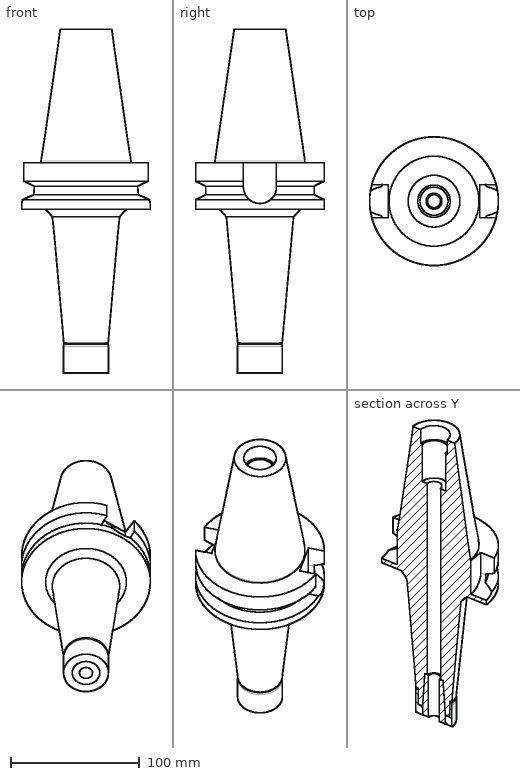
import cadquery as cq


total_length = 266.8
taper_length = 102.0
tip_z = taper_length - total_length

gauge_diameter = 70.0
taper_ratio = 7 / 24
taper_end_diameter = gauge_diameter - taper_ratio * taper_length

flange_diameter = 100.0
flange_top_z = -1.5
flange_bottom_z = -38.0
groove_floor_diameter = 84.5
groove_middle_z = -23.2
groove_mouth_width = 14.5
groove_floor_width = 6.7

slot_width = 25.5
slot_floor_x = 35.5
slot_bottom_z = -33.4

flare_top_diameter = 62.7
nose_top_diameter = 52.3
nose_top_z = -43.8
nose_end_diameter = 34.7
nose_end_z = -141.7

neck_diameter = 30.5
neck_end_z = -157.0

counterbore_diameter = 25.0
counterbore_depth = 13.0
draw_bore_diameter = 22.0
draw_bore_depth = 48.0
passage_diameter = 12.3

nut_diameter = 35.0
nut_gap = 0.8
nut_top_z = nose_end_z - nut_gap
nut_chamfer_height = 1.5
nut_chamfer_width = 0.3

collet_top_z = -125.5
collet_top_diameter = 17.0
collet_end_diameter = 21.3
collet_bore_diameter = 10.1


def revolved(profile):
    """Turn a list of (radius, z) points about the Z axis."""
    return cq.Workplane("YZ").polyline(profile).close().revolve(360, (0, 0, 0), (0, 1, 0))


def make_drive_slot(side):
    """Round-bottomed slot cutter on the +X (side = 1) or -X (side = -1) flank."""
    slot_radius = slot_width / 2
    arc_center_z = slot_bottom_z + slot_radius
    return (
        cq.Workplane("YZ", origin=(side * slot_floor_x, 0, 0))
        .moveTo(-slot_radius, flange_top_z)
        .lineTo(-slot_radius, arc_center_z)
        .threePointArc((0, slot_bottom_z), (slot_radius, arc_center_z))
        .lineTo(slot_radius, flange_top_z)
        .close()
        .extrude(side * flange_diameter / 2)
    )


def make_collet_envelope():
    """Solid outer shape of the collet: a cone in the holder, then a cylinder through the nut."""
    return revolved([
        (0, collet_top_z),
        (collet_top_diameter / 2, collet_top_z),
        (collet_end_diameter / 2, neck_end_z),
        (collet_end_diameter / 2, tip_z),
        (0, tip_z),
    ])


def make_holder_outside():
    """Turned outside of the holder, from the taper's small end down to the neck."""
    flange_radius = flange_diameter / 2
    groove_radius = groove_floor_diameter / 2
    return revolved([
        (0, taper_length),
        (taper_end_diameter / 2, taper_length),
        (gauge_diameter / 2, 0),
        (gauge_diameter / 2, flange_top_z),
        (flange_radius, flange_top_z),
        (flange_radius, groove_middle_z + groove_mouth_width / 2),
        (groove_radius, groove_middle_z + groove_floor_width / 2),
        (groove_radius, groove_middle_z - groove_floor_width / 2),
        (flange_radius, groove_middle_z - groove_mouth_width / 2),
        (flange_radius, flange_bottom_z),
        (flare_top_diameter / 2, flange_bottom_z),
        (nose_top_diameter / 2, nose_top_z),
        (nose_end_diameter / 2, nose_end_z),
        (neck_diameter / 2, nose_end_z),
        (neck_diameter / 2, neck_end_z),
        (0, neck_end_z),
    ])


def make_holder_bores():
    """Counterbore, draw bore and passage, stepping down to the collet socket."""
    counterbore_floor_z = taper_length - counterbore_depth
    draw_bore_floor_z = taper_length - draw_bore_depth
    return revolved([
        (0, taper_length),
        (counterbore_diameter / 2, taper_length),
        (counterbore_diameter / 2, counterbore_floor_z),
        (draw_bore_diameter / 2, counterbore_floor_z),
        (draw_bore_diameter / 2, draw_bore_floor_z),
        (passage_diameter / 2, draw_bore_floor_z),
        (passage_diameter / 2, collet_top_z),
        (0, collet_top_z),
    ])


def make_holder():
    """Tool holder with its bores, collet socket and two drive slots."""
    holder = make_holder_outside().cut(make_holder_bores()).cut(make_collet_envelope())
    for side in (-1, 1):
        holder = holder.cut(make_drive_slot(side))
    return holder


def make_nut():
    """Round nut around the neck, closed at the bottom except for the collet opening."""
    nut_radius = nut_diameter / 2
    neck_radius = neck_diameter / 2
    opening_radius = collet_end_diameter / 2
    return revolved([
        (neck_radius, nut_top_z),
        (nut_radius - nut_chamfer_width, nut_top_z),
        (nut_radius, nut_top_z - nut_chamfer_height),
        (nut_radius, tip_z),
        (opening_radius, tip_z),
        (opening_radius, neck_end_z),
        (neck_radius, neck_end_z),
    ])


def make_collet():
    """Collet with a plain through bore."""
    bore = (
        cq.Workplane("XY", origin=(0, 0, tip_z))
        .circle(collet_bore_diameter / 2)
        .extrude(collet_top_z - tip_z)
    )
    return make_collet_envelope().cut(bore)


holder = make_holder()
nut = make_nut()
collet = make_collet()

result = cq.Compound.makeCompound([holder.val(), nut.val(), collet.val()])